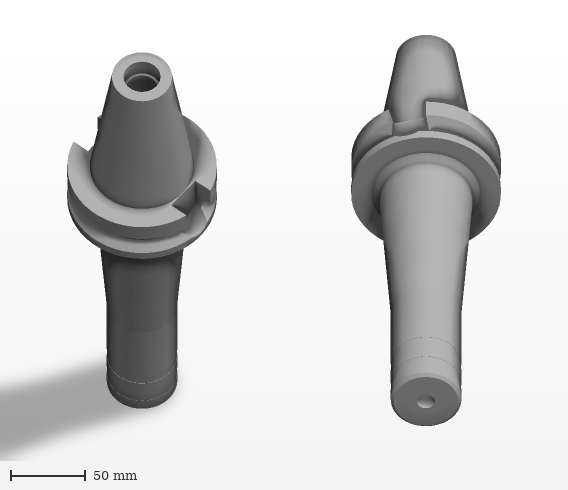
import cadquery as cq

LENGTH = 351.8

TAPER_TOP_RADIUS = 20.0
GAUGE_RADIUS = 35.0
GAUGE_DEPTH = 102.5

FLANGE_RADIUS = 50.0
FLANGE_TOP = 103.0
FLANGE_BOTTOM = 139.5
GROOVE_RADIUS = 42.5
GROOVE_TOP = 116.8
GROOVE_BOTTOM = 133.0
GROOVE_FLANK = 5.0

COLLAR_RADIUS = 36.2
COLLAR_BOTTOM = 144.5

NECK_RADIUS = 31.3
NOSE_RADIUS = 23.5
NOSE_TOP = 261.7
NOSE_CHAMFER = 2.0

BAND_TOPS = (313.0, 333.0)
BAND_WIDTH = 7.5
BAND_DEPTH = 0.18

SLOT_WIDTH = 25.7
SLOT_FLOOR = 35.2
SLOT_BOTTOM = 135.8

BORE_RADIUS = 12.3
BORE_DEPTH = 13.5
THREAD_RADIUS = 10.5
THREAD_DEPTH = 70.5
COOLANT_RADIUS = 6.0


def height(depth):
    """Z of a level given by its depth below the taper end; the base is at Z = 0."""
    return LENGTH - depth


def turned_body():
    """Revolve the outer profile of the holder."""
    profile = [
        (0, 0),
        (TAPER_TOP_RADIUS, 0),
        (GAUGE_RADIUS, GAUGE_DEPTH),
        (GAUGE_RADIUS, FLANGE_TOP),
        (FLANGE_RADIUS, FLANGE_TOP),
        (FLANGE_RADIUS, GROOVE_TOP),
        (GROOVE_RADIUS, GROOVE_TOP + GROOVE_FLANK),
        (GROOVE_RADIUS, GROOVE_BOTTOM - GROOVE_FLANK),
        (FLANGE_RADIUS, GROOVE_BOTTOM),
        (FLANGE_RADIUS, FLANGE_BOTTOM),
        (COLLAR_RADIUS, FLANGE_BOTTOM),
        (NECK_RADIUS, COLLAR_BOTTOM),
        (NOSE_RADIUS, NOSE_TOP),
        (NOSE_RADIUS, LENGTH - NOSE_CHAMFER),
        (NOSE_RADIUS - NOSE_CHAMFER, LENGTH),
        (0, LENGTH),
    ]
    points = [(radius, height(depth)) for radius, depth in profile]
    return cq.Workplane("XZ").polyline(points).close().revolve(360, (0, 0), (0, 1))


def marking_band(top):
    """Thin ring to remove from the nose surface."""
    return (
        cq.Workplane("XY", origin=(0, 0, height(top + BAND_WIDTH)))
        .circle(FLANGE_RADIUS)
        .circle(NOSE_RADIUS - BAND_DEPTH)
        .extrude(BAND_WIDTH)
    )


def drive_slot(side):
    """Round-bottomed slot cutter, open at the flange top; side is -1 or 1 along X."""
    half_width = SLOT_WIDTH / 2
    bottom = height(SLOT_BOTTOM)
    top = height(FLANGE_TOP)
    return (
        cq.Workplane("YZ", origin=(side * SLOT_FLOOR, 0, 0))
        .moveTo(-half_width, top)
        .lineTo(-half_width, bottom + half_width)
        .threePointArc((0, bottom), (half_width, bottom + half_width))
        .lineTo(half_width, top)
        .close()
        .extrude(side * FLANGE_RADIUS)
    )


def bore_step(radius, depth):
    """Cylinder running down the axis from the taper end."""
    return cq.Workplane("XY", origin=(0, 0, height(depth))).circle(radius).extrude(depth)


result = turned_body()

for band_top in BAND_TOPS:
    result = result.cut(marking_band(band_top))

for slot_side in (-1, 1):
    result = result.cut(drive_slot(slot_side))

result = result.cut(bore_step(BORE_RADIUS, BORE_DEPTH))
result = result.cut(bore_step(THREAD_RADIUS, THREAD_DEPTH))
result = result.cut(bore_step(COOLANT_RADIUS, LENGTH))